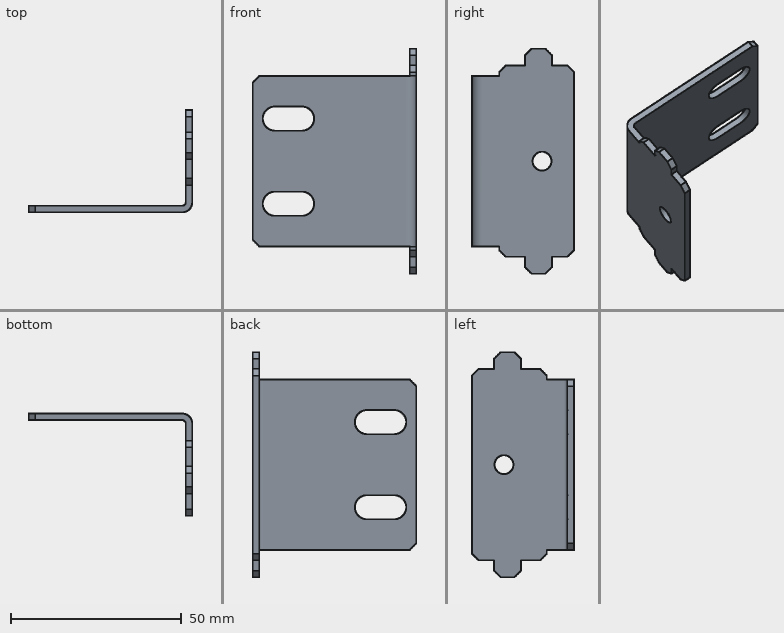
import cadquery as cq

length = 48.0
depth = 30.0
height = 66.0

thickness = 2.0
inner_radius = 1.0
outer_radius = inner_radius + thickness
corner_chamfer = 2.0

plate_height = 50.0
slot_length = 15.0
slot_width = 7.0
slot_center_x = 10.5
slot_spacing = 24.95

wide_height = 56.1
wide_depth = 22.05
tab_width = 8.0
tab_center = 10.5
hole_center = 9.45
hole_diameter = 5.5


def bent_sheet():
    """L-shaped sheet, with the bend at the +X, -Y corner."""
    return (
        cq.Workplane("XY")
        .workplane(offset=-plate_height / 2)
        .lineTo(length - outer_radius, 0)
        .radiusArc((length, outer_radius), -outer_radius)
        .lineTo(length, depth)
        .lineTo(length - thickness, depth)
        .lineTo(length - thickness, outer_radius)
        .radiusArc((length - outer_radius, thickness), inner_radius)
        .lineTo(0, thickness)
        .close()
        .extrude(plate_height)
        .edges("|Y and <X")
        .chamfer(corner_chamfer)
    )


def flange_panel(center_y, width, panel_height):
    """Panel in the side flange with four chamfered corners."""
    return (
        cq.Workplane("YZ", origin=(length - thickness, center_y, 0))
        .rect(width, panel_height)
        .extrude(thickness)
        .edges("|X")
        .chamfer(corner_chamfer)
    )


def flange_hole():
    return (
        cq.Workplane("YZ", origin=(length - thickness, depth - hole_center, 0))
        .circle(hole_diameter / 2)
        .extrude(thickness)
    )


def plate_slots():
    return (
        cq.Workplane("XZ")
        .pushPoints([(slot_center_x, side * slot_spacing / 2) for side in (-1, 1)])
        .slot2D(slot_length, slot_width)
        .extrude(-thickness)
    )


result = (
    bent_sheet()
    .union(flange_panel(depth - wide_depth / 2, wide_depth, wide_height))
    .union(flange_panel(depth - tab_center, tab_width, height))
    .cut(flange_hole())
    .cut(plate_slots())
)